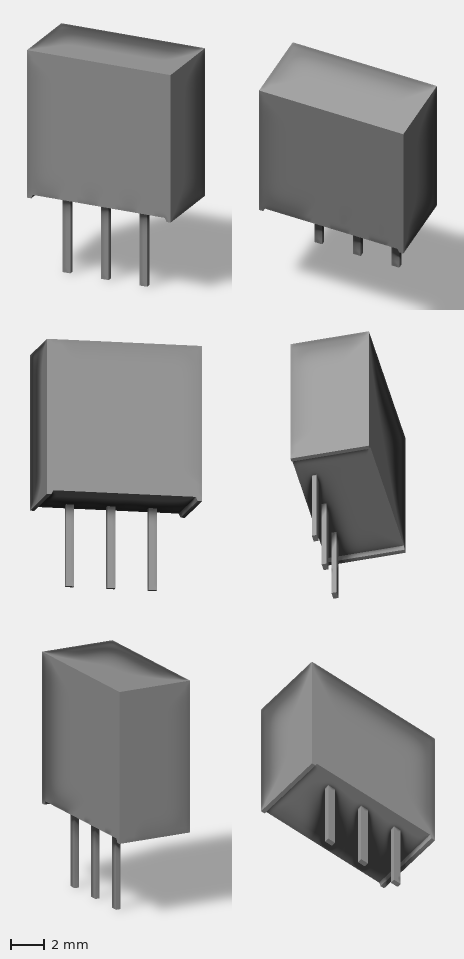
import cadquery as cq

total_height = 14.3
body_width = 9.52
body_depth = 4.83
body_height = 9.52

foot_height = 0.25
foot_tip_width = 0.27
foot_root_width = 0.39

pin_width = 0.51
pin_thickness = 0.3
pin_pitch = 2.55
pin_row_setback = 1.0

body_top = total_height
feet_bottom = body_top - body_height
underside = feet_bottom + foot_height
half_width = body_width / 2


def make_body():
    """Block whose underside is relieved between two full-depth tapered feet."""
    half_gap_at_tip = half_width - foot_tip_width
    half_gap_at_root = half_width - foot_root_width
    profile = [
        (-half_width, body_top),
        (-half_width, feet_bottom),
        (-half_gap_at_tip, feet_bottom),
        (-half_gap_at_root, underside),
        (half_gap_at_root, underside),
        (half_gap_at_tip, feet_bottom),
        (half_width, feet_bottom),
        (half_width, body_top),
    ]
    return cq.Workplane("XZ").polyline(profile).close().extrude(-body_depth)


def make_pins():
    """Row of rectangular pins running from the tips up to the underside."""
    centres = [(step * pin_pitch, pin_row_setback) for step in (-1, 0, 1)]
    return (
        cq.Workplane("XY")
        .pushPoints(centres)
        .rect(pin_width, pin_thickness)
        .extrude(underside)
    )


result = make_body().union(make_pins())